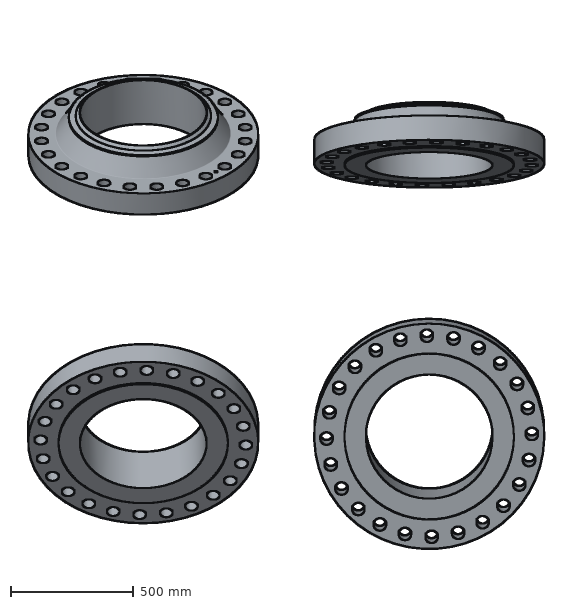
import cadquery as cq
import math

flange_diameter = 940.0
total_height = 209.5
bore_diameter = 517.0

raised_face_diameter = 691.5
raised_face_height = 7.0
plate_thickness = 101.5
plate_top = raised_face_height + plate_thickness

hub_base_diameter = 714.0
hub_fillet_radius = 5.0
neck_diameter = 609.0
neck_height = 6.0

land_width = 2.0
bevel_break_diameter = 552.0
steep_bevel_height = 14.0
shallow_bevel_angle = 10.0

bolt_count = 24
bolt_circle_diameter = 838.0
bolt_hole_diameter = 52.0
small_hole_diameter = 7.5
small_hole_depth = 19.0
drill_point_angle = 118.0
countersink_diameter = 12.0
small_hole_angle = 180.0 / bolt_count


def flange_body():
    """Flange, hub and weld bevel revolved about Z, with a fillet at the root of the hub."""
    bore_radius = bore_diameter / 2
    plate_radius = flange_diameter / 2
    face_radius = raised_face_diameter / 2
    neck_radius = neck_diameter / 2
    break_radius = bevel_break_diameter / 2

    break_z = total_height - steep_bevel_height
    shallow_drop = (neck_radius - break_radius) * math.tan(math.radians(shallow_bevel_angle))
    neck_top = break_z - shallow_drop

    section = [
        (bore_radius, 0),
        (face_radius, 0),
        (face_radius, raised_face_height),
        (plate_radius, raised_face_height),
        (plate_radius, plate_top),
        (hub_base_diameter / 2, plate_top),
        (neck_radius, neck_top - neck_height),
        (neck_radius, neck_top),
        (break_radius, break_z),
        (bore_radius + land_width, total_height),
        (bore_radius, total_height),
    ]
    body = cq.Workplane("XZ").polyline(section).close().revolve(360, (0, 0, 0), (0, 1, 0))
    hub_root = cq.selectors.RadiusNthSelector(-2)
    return body.edges("%CIRCLE").edges(hub_root).fillet(hub_fillet_radius)


def bolt_holes():
    """Ring of through bolt holes, the first one on +X."""
    return (
        cq.Workplane("XY")
        .polarArray(bolt_circle_diameter / 2, 0, 360, bolt_count)
        .circle(bolt_hole_diameter / 2)
        .extrude(plate_top)
    )


def small_hole():
    """Small drilled blind hole in the plate, with a drill point and a 45 degree countersink."""
    hole_radius = small_hole_diameter / 2
    rim_radius = countersink_diameter / 2
    countersink_depth = rim_radius - hole_radius
    point_depth = hole_radius / math.tan(math.radians(drill_point_angle / 2))

    section = [
        (0, -small_hole_depth - point_depth),
        (hole_radius, -small_hole_depth),
        (hole_radius, -countersink_depth),
        (rim_radius, 0),
        (0, 0),
    ]
    cutter = cq.Workplane("XZ").polyline(section).close().revolve(360, (0, 0, 0), (0, 1, 0))
    on_bolt_circle = cutter.translate((bolt_circle_diameter / 2, 0, plate_top))
    return on_bolt_circle.rotate((0, 0, 0), (0, 0, 1), small_hole_angle)


result = flange_body().cut(bolt_holes()).cut(small_hole())